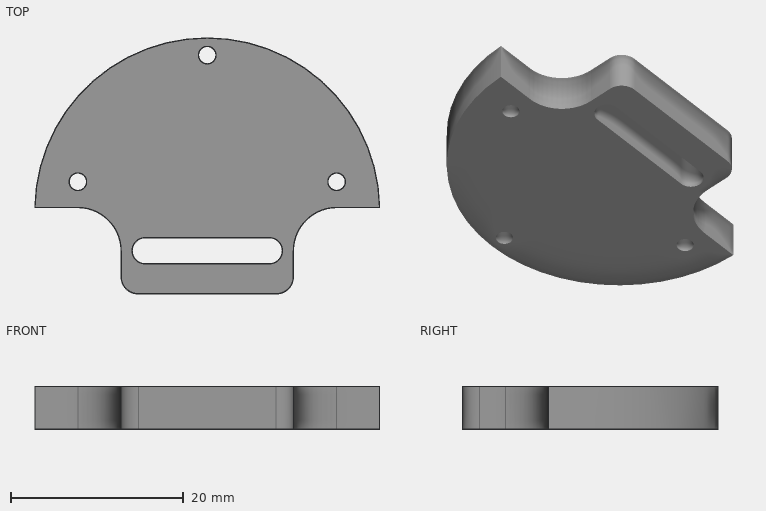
import cadquery as cq
import math

thickness = 5.0
disc_radius = 20.0
shoulder_y = 0.3
tab_width = 20.0
tab_length = 10.0
neck_radius = 5.0
tab_corner_radius = 2.0

hole_diameter = 2.0
top_hole_edge_distance = 2.0
side_hole_x = 15.0
side_hole_height = 3.0

slot_length = 17.4
slot_width = 3.0

shoulder_half_width = math.sqrt(disc_radius**2 - shoulder_y**2)
tab_half_width = tab_width / 2
tab_end_y = shoulder_y - tab_length
slot_y = shoulder_y - tab_length / 2
side_hole_y = shoulder_y + side_hole_height
hole_centers = [
    (0, disc_radius - top_hole_edge_distance),
    (-side_hole_x, side_hole_y),
    (side_hole_x, side_hole_y),
]


def make_plate():
    """Half-disc plate with a rounded strap tab."""
    plate = (
        cq.Workplane("XY")
        .moveTo(shoulder_half_width, shoulder_y)
        .threePointArc((0, disc_radius), (-shoulder_half_width, shoulder_y))
        .lineTo(-tab_half_width, shoulder_y)
        .lineTo(-tab_half_width, tab_end_y)
        .lineTo(tab_half_width, tab_end_y)
        .lineTo(tab_half_width, shoulder_y)
        .close()
        .extrude(thickness)
    )
    neck_points = [(side * tab_half_width, shoulder_y, thickness / 2) for side in (-1, 1)]
    for point in neck_points:
        plate = plate.edges(cq.selectors.NearestToPointSelector(point)).fillet(neck_radius)
    return plate.edges("|Z and <Y").fillet(tab_corner_radius)


def make_holes():
    """Round through holes near the disc edge."""
    return cq.Workplane("XY").pushPoints(hole_centers).circle(hole_diameter / 2).extrude(thickness)


def make_slot():
    """Strap slot through the tab."""
    return cq.Workplane("XY").center(0, slot_y).slot2D(slot_length, slot_width).extrude(thickness)


result = make_plate().cut(make_holes()).cut(make_slot())